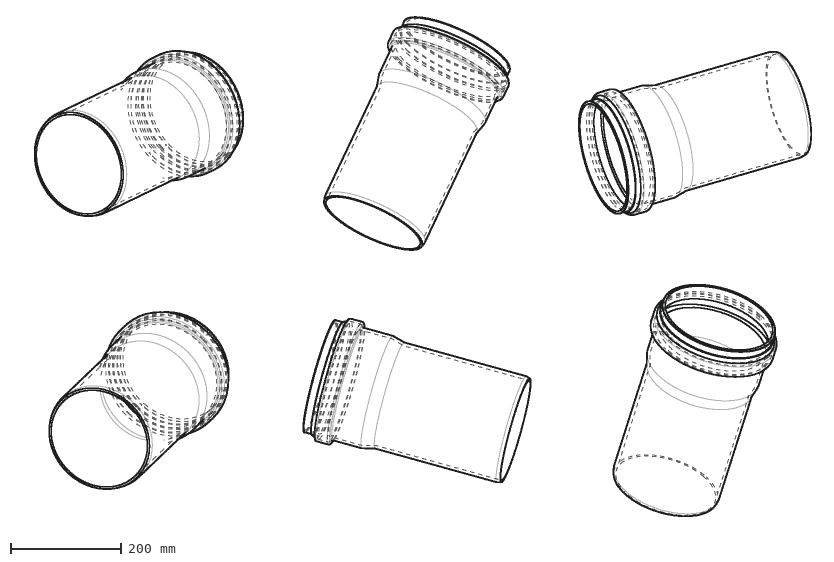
import cadquery as cq
import math


pipe_outer_diameter = 200.0
pipe_bore_diameter = 187.6
socket_outer_diameter = 212.0
socket_bore_diameter = 200.8
bead_outer_diameter = 231.3
bead_groove_diameter = 221.9
shoulder_large_diameter = 221.0
collar_outer_diameter = 211.2
collar_bore_diameter = 201.8

length = 370.0
shoulder_start = 15.5
bead_start = 23.2
bead_end = 51.4
taper_start = 108.6
taper_end = 132.2

shoulder_step = 1.2
shoulder_step_length = 0.9
rim_lip_length = 1.2
bead_edge_radius = 3.7
bead_root_radius = 2.3
spigot_bevel_length = 7.5
spigot_bevel_angle = 15.0

bead_wall = (bead_outer_diameter - bead_groove_diameter) / 2
spigot_bevel_depth = spigot_bevel_length * math.tan(math.radians(spigot_bevel_angle))
rim_y = length / 2
spigot_y = -length / 2


def station(distance):
    """Y position at a given distance from the socket rim."""
    return rim_y - distance


def revolve_outline(outline):
    """Turn a half outline, closed along the pipe axis, into a solid about Y."""
    return outline.close().revolve(360, (0, 0, 0), (0, 1, 0))


def outer_body():
    pipe_radius = pipe_outer_diameter / 2
    socket_radius = socket_outer_diameter / 2
    collar_radius = collar_outer_diameter / 2
    bead_radius = bead_outer_diameter / 2
    arc_middle = 1 - math.sqrt(0.5)
    edge_inset = bead_edge_radius * arc_middle
    root_inset = bead_root_radius * arc_middle

    outline = (
        cq.Workplane("XY")
        .moveTo(0, rim_y)
        .lineTo(socket_radius, rim_y)
        .lineTo(socket_radius, station(rim_lip_length))
        .lineTo(collar_radius, station(rim_lip_length))
        .lineTo(collar_radius, station(shoulder_start - shoulder_step_length))
        .lineTo(collar_radius + shoulder_step, station(shoulder_start))
        .lineTo(shoulder_large_diameter / 2, station(bead_start))
        .lineTo(bead_radius - bead_edge_radius, station(bead_start))
        .threePointArc(
            (bead_radius - edge_inset, station(bead_start + edge_inset)),
            (bead_radius, station(bead_start + bead_edge_radius)),
        )
        .lineTo(bead_radius, station(bead_end - bead_edge_radius))
        .threePointArc(
            (bead_radius - edge_inset, station(bead_end - edge_inset)),
            (bead_radius - bead_edge_radius, station(bead_end)),
        )
        .lineTo(socket_radius + bead_root_radius, station(bead_end))
        .threePointArc(
            (socket_radius + root_inset, station(bead_end + root_inset)),
            (socket_radius, station(bead_end + bead_root_radius)),
        )
        .lineTo(socket_radius, station(taper_start))
        .lineTo(pipe_radius, station(taper_end))
        .lineTo(pipe_radius, spigot_y + spigot_bevel_length)
        .lineTo(pipe_radius - spigot_bevel_depth, spigot_y)
        .lineTo(0, spigot_y)
    )
    return revolve_outline(outline)


def inner_cavity():
    pipe_radius = pipe_bore_diameter / 2
    socket_radius = socket_bore_diameter / 2
    collar_radius = collar_bore_diameter / 2
    groove_radius = bead_groove_diameter / 2

    outline = (
        cq.Workplane("XY")
        .moveTo(0, rim_y)
        .lineTo(collar_radius, rim_y)
        .lineTo(collar_radius, station(bead_start + bead_wall))
        .lineTo(groove_radius, station(bead_start + bead_wall))
        .lineTo(groove_radius, station(bead_end - bead_wall))
        .lineTo(socket_radius, station(bead_end - bead_wall))
        .lineTo(socket_radius, station(taper_start))
        .lineTo(pipe_radius, station(taper_end))
        .lineTo(pipe_radius, spigot_y)
        .lineTo(0, spigot_y)
    )
    return revolve_outline(outline)


result = outer_body().cut(inner_cavity())